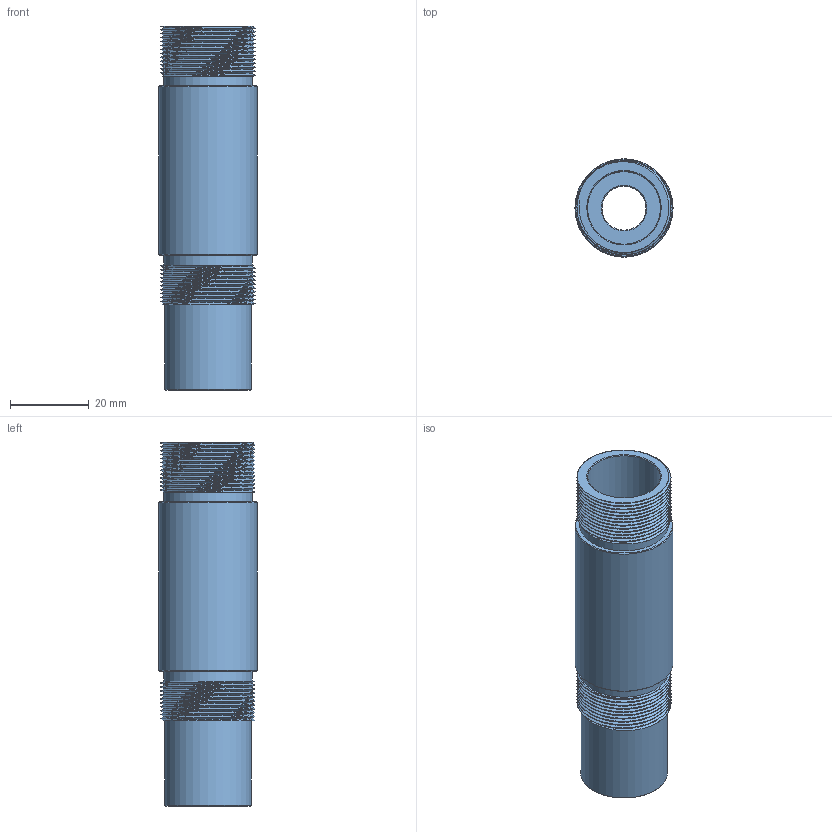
import cadquery as cq
import math

total_length = 92.4
sleeve_top = 21.7
lower_thread_top = 31.7
body_bottom = 34.2
body_top = 77.2
upper_thread_bottom = 79.7

sleeve_diameter = 22.0
neck_diameter = 22.5
body_diameter = 24.9

thread_crest_diameter = 23.88
thread_root_diameter = 22.74
thread_pitch = 1.0
thread_flank_angle = 30.0
crest_width = thread_pitch / 8
crest_offset = 0.25
ridge_overlap = 0.1

wide_bore_diameter = 18.5
narrow_bore_diameter = 11.2
wide_bore_bottom = body_bottom

edge_chamfer = 0.2


def cylinder(diameter, bottom, top):
    """Cylinder on the Z axis between two heights."""
    return cq.Workplane("XY").workplane(offset=bottom).circle(diameter / 2).extrude(top - bottom)


def thread(bottom, top):
    """Threaded length: a core with a helical ridge, cut square at both ends."""
    core_radius = thread_root_diameter / 2
    crest_radius = thread_crest_diameter / 2
    inner_radius = core_radius - ridge_overlap
    half_crest = crest_width / 2
    half_base = half_crest + (crest_radius - inner_radius) * math.tan(math.radians(thread_flank_angle))

    start = bottom + crest_offset - 2 * thread_pitch
    turns = math.ceil((top - start) / thread_pitch) + 1
    helix = cq.Wire.makeHelix(
        thread_pitch, turns * thread_pitch, inner_radius, cq.Vector(0, 0, start)
    )
    ridge = (
        cq.Workplane("XZ")
        .polyline([
            (inner_radius, start - half_base),
            (crest_radius, start - half_crest),
            (crest_radius, start + half_crest),
            (inner_radius, start + half_base),
        ])
        .close()
        .sweep(cq.Workplane(obj=helix), isFrenet=True)
    )
    core = cylinder(thread_root_diameter, start - thread_pitch, start + (turns + 1) * thread_pitch)
    return core.union(ridge).intersect(cylinder(body_diameter, bottom, top))


def sleeve():
    """Plain lower end with a broken bottom edge."""
    return cylinder(sleeve_diameter, 0, sleeve_top).faces("<Z").chamfer(edge_chamfer)


def body():
    """Large middle barrel with both rims broken."""
    return cylinder(body_diameter, body_bottom, body_top).faces("<Z or >Z").chamfer(edge_chamfer)


def neck_spindle():
    """Single spindle through the body whose ends are the plain necks next to the threads."""
    return cylinder(neck_diameter, lower_thread_top, upper_thread_bottom)


def bore_step(diameter, bottom, mouth):
    """Cylindrical bore with a broken edge at its upper mouth."""
    radius = diameter / 2
    half_profile = [
        (0, bottom),
        (radius, bottom),
        (radius, mouth - edge_chamfer),
        (radius + edge_chamfer, mouth),
        (0, mouth),
    ]
    return cq.Workplane("XZ").polyline(half_profile).close().revolve(360, (0, 0), (0, 1))


def bore():
    """Stepped through bore."""
    narrow = bore_step(narrow_bore_diameter, 0, wide_bore_bottom)
    wide = bore_step(wide_bore_diameter, wide_bore_bottom, total_length)
    return narrow.union(wide)


result = (
    sleeve()
    .union(thread(sleeve_top, lower_thread_top))
    .union(neck_spindle())
    .union(body())
    .union(thread(upper_thread_bottom, total_length))
    .cut(bore())
)